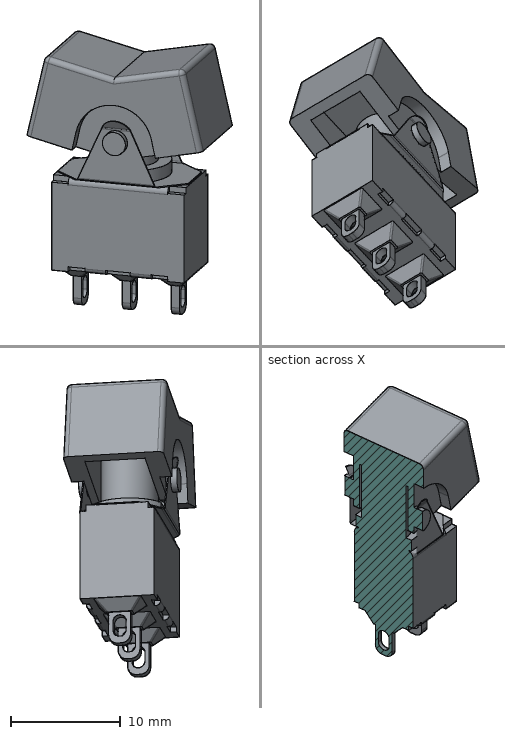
import cadquery as cq
import math


body_length = 12.7
body_width = 6.86
body_height = 8.92
skin_length = 9.54
skin_bottom = 0.47
skin_top_radius = 0.65
ledge = 0.55
hook_radius = 0.42
hook_inner_x = 1.17
hook_outer_x = 3.16

terminal_pitch = 4.7
terminal_thickness = 0.8
terminal_width = 2.0
terminal_tip_z = -4.01
terminal_tip_radius = 0.8
eye_width = 1.2
eye_length = 2.05
eye_center_z = -2.35
seal_length = 3.1
seal_width = 4.36
seal_height = 1.05
seal_corner_radius = 0.2
seal_taper = 43

sheet = 0.11
bracket_width = 7.92
plate_length = 12.5
plate_end_width = 3.8
arm_base_length = 7.55
arm_tip_length = 2.7
arm_bend_z = 14.18
flap_tip_z = 15.05
flap_lean = 0.48
bend_radius = 0.25
flap_bend_radius = 0.4

flange_diameter = 7.66
flange_width = 6.5
flange_height = 1.2
bushing_diameter = 5.2
pin_diameter = 2.2
pin_z = 12.93
pin_end_y = 4.55

rocker_length = 16.87
rocker_width = 9.27
top_tilt = 12.3
end_draft = 13.0
bottom_tilt = 12.5
rocker_end_z = 12.97
rocker_valley_z = 19.17
rocker_radius = 0.5
recess_radius = 3.7
recess_depth = 1.12
cavity_width = 5.56
cavity_top_z = 16.0
end_wall = 1.1

top_rise = math.tan(math.radians(top_tilt))
end_slope = math.tan(math.radians(end_draft))
bottom_rise = math.tan(math.radians(bottom_tilt))


def block(x_min, x_max, y_min, y_max, z_min, z_max):
    size = (x_max - x_min, y_max - y_min, z_max - z_min)
    return cq.Workplane("XY").box(*size, centered=False).translate((x_min, y_min, z_min))


def front_prism(sketch, y_min, y_max):
    """Extrude a closed XZ outline from y_min to y_max."""
    return sketch.extrude(y_min - y_max).translate((0, y_min, 0))


def make_housing():
    half_length = body_length / 2
    half_width = body_width / 2
    half_skin = skin_length / 2
    step_y = half_width - ledge
    core = block(-half_length, half_length, -step_y, step_y, 0, body_height)

    skin = block(-half_skin, half_skin, -half_width, half_width, skin_bottom, body_height)
    housing = core.union(skin.edges("|X and >Z").fillet(skin_top_radius))

    for side in (-1, 1):
        end_block = block(half_skin, half_length, -half_width, half_width, 0, body_height - ledge)
        if side < 0:
            end_block = end_block.mirror("YZ")
        housing = housing.union(end_block)
    for side in (-1, 1):
        for hook in make_hooks():
            housing = housing.union(hook if side > 0 else hook.mirror("YZ"))
    return housing


def make_hooks():
    """Rounded hooks under the raised stretches, one on each long side at positive X."""
    half_width = body_width / 2
    hook = block(hook_inner_x, hook_outer_x, half_width - ledge, half_width, 0, skin_bottom)
    hook = hook.edges("|X and >Y and <Z").fillet(hook_radius)
    return hook, hook.mirror("XZ")


def make_terminal(x):
    blade_height = -terminal_tip_z
    blade = (
        cq.Workplane("XY")
        .box(terminal_thickness, terminal_width, blade_height, centered=(True, True, False))
        .translate((0, 0, terminal_tip_z))
        .edges("|X and <Z")
        .fillet(terminal_tip_radius)
    )
    eye = (
        cq.Workplane("YZ")
        .center(0, eye_center_z)
        .slot2D(eye_length, eye_width, 90)
        .extrude(terminal_thickness, both=True)
    )
    seal = (
        cq.Workplane("XY")
        .rect(seal_length, seal_width)
        .extrude(-seal_height, taper=seal_taper)
        .edges("not #Z")
        .fillet(seal_corner_radius)
    )
    return blade.cut(eye).union(seal).translate((x, 0, 0))


def make_bracket():
    bottom = body_height
    outer_y = bracket_width / 2
    inner_y = outer_y - sheet
    plate_top = bottom + sheet

    half_section = [
        (outer_y, bottom),
        (outer_y, arm_bend_z),
        (outer_y + flap_lean, flap_tip_z),
        (inner_y + flap_lean, flap_tip_z),
        (inner_y, arm_bend_z),
        (inner_y, plate_top),
    ]
    mirrored = [(-y, z) for y, z in reversed(half_section)]
    sheet_metal = (
        cq.Workplane("YZ")
        .polyline(half_section + mirrored)
        .close()
        .extrude(plate_length / 2, both=True)
        .edges("|X and <Z")
        .fillet(bend_radius)
    )
    sheet_metal = sheet_metal.edges(flap_bend_edges(outer_y)).fillet(flap_bend_radius)

    reach = outer_y + flap_lean
    half_base = arm_base_length / 2
    half_tip = arm_tip_length / 2
    arm_outline = (
        cq.Workplane("XZ")
        .moveTo(-half_base, bottom)
        .lineTo(half_base, bottom)
        .lineTo(half_tip, arm_bend_z)
        .threePointArc((0, flap_tip_z), (-half_tip, arm_bend_z))
        .close()
    )
    half_plate = plate_length / 2
    half_end = plate_end_width / 2
    plate_corner = [(half_plate, half_end), (half_base, outer_y)]
    plate_outline = list(plate_corner)
    plate_outline += [(-x, y) for x, y in reversed(plate_corner)]
    plate_outline += [(-x, -y) for x, y in plate_corner]
    plate_outline += [(x, -y) for x, y in reversed(plate_corner)]
    plate = (
        cq.Workplane("XY", origin=(0, 0, bottom))
        .polyline(plate_outline)
        .close()
        .extrude(sheet)
    )
    envelope = front_prism(arm_outline, -reach, reach).union(plate)
    return sheet_metal.intersect(envelope)


def flap_bend_edges(outer_y):
    """Selector for the edges where the outer arm faces turn into the flaps."""
    margin = sheet / 2
    boxes = []
    for y in (-outer_y, outer_y):
        low = (-plate_length, y - margin, arm_bend_z - margin)
        high = (plate_length, y + margin, arm_bend_z + margin)
        boxes.append(cq.selectors.BoxSelector(low, high))
    return boxes[0] + boxes[1]


def make_bushing():
    base = body_height + sheet
    flange = cq.Workplane("XY").circle(flange_diameter / 2).extrude(flange_height)
    flange = flange.intersect(
        cq.Workplane("XY").box(flange_diameter, flange_width, 2 * flange_height)
    )
    barrel = cq.Workplane("XY").circle(bushing_diameter / 2).extrude(cavity_top_z - base)
    return flange.union(barrel).translate((0, 0, base))


def make_rocker():
    half_length = rocker_length / 2
    half_width = rocker_width / 2

    valley_height = rocker_valley_z - rocker_end_z
    corner_x = (half_length - valley_height * end_slope) / (1 + top_rise * end_slope)
    corner_z = rocker_valley_z + corner_x * top_rise
    keel_z = rocker_end_z - half_length * bottom_rise
    outline = cq.Workplane("XZ").polyline([
        (0, keel_z),
        (half_length, rocker_end_z),
        (corner_x, corner_z),
        (0, rocker_valley_z),
        (-corner_x, corner_z),
        (-half_length, rocker_end_z),
    ]).close()
    rocker = front_prism(outline, -half_width, half_width)
    upper_faces = cq.selectors.BoxSelector(
        (-rocker_length, -rocker_width, rocker_end_z + rocker_radius),
        (rocker_length, rocker_width, corner_z + rocker_radius),
    )
    valley = cq.selectors.BoxSelector(
        (-rocker_radius, -rocker_radius, rocker_valley_z - rocker_radius),
        (rocker_radius, rocker_radius, rocker_valley_z + rocker_radius),
    )
    rocker = rocker.edges(upper_faces - valley).fillet(rocker_radius)

    recess = make_recess_cutter(keel_z)
    rocker = rocker.cut(recess).cut(recess.mirror("XZ"))
    return rocker.cut(make_cavity_cutter(keel_z))


def make_recess_cutter(bottom_z):
    """Arched recess in the +Y side face, its legs tangent to the arch."""
    outer_y = rocker_width / 2
    tilt = math.radians(bottom_tilt)
    tangent_x = recess_radius * math.cos(tilt)
    tangent_z = pin_z + recess_radius * math.sin(tilt)
    foot_x = tangent_x + (tangent_z - bottom_z) * bottom_rise
    outline = (
        cq.Workplane("XZ")
        .moveTo(-foot_x, bottom_z)
        .lineTo(-tangent_x, tangent_z)
        .threePointArc((0, pin_z + recess_radius), (tangent_x, tangent_z))
        .lineTo(foot_x, bottom_z)
        .close()
    )
    return front_prism(outline, outer_y - recess_depth, outer_y)


def make_cavity_cutter(bottom_z):
    bottom_x = rocker_length / 2 - end_wall + (rocker_end_z - bottom_z) * end_slope
    top_x = bottom_x - (cavity_top_z - bottom_z) * end_slope
    outline = cq.Workplane("XZ").polyline([
        (-bottom_x, bottom_z),
        (bottom_x, bottom_z),
        (top_x, cavity_top_z),
        (-top_x, cavity_top_z),
    ]).close()
    return front_prism(outline, -cavity_width / 2, cavity_width / 2)


def make_pins():
    """Stub pins running out from the rocker side walls through the bracket arms."""
    inner_y = rocker_width / 2 - recess_depth
    stub = cq.Workplane("XZ").center(0, pin_z).circle(pin_diameter / 2)
    pin = front_prism(stub, inner_y, pin_end_y)
    return pin.union(pin.mirror("XZ"))


result = make_housing()
for index in (-1, 0, 1):
    result = result.union(make_terminal(index * terminal_pitch))
for component in (make_bracket(), make_bushing(), make_rocker(), make_pins()):
    result = result.union(component)